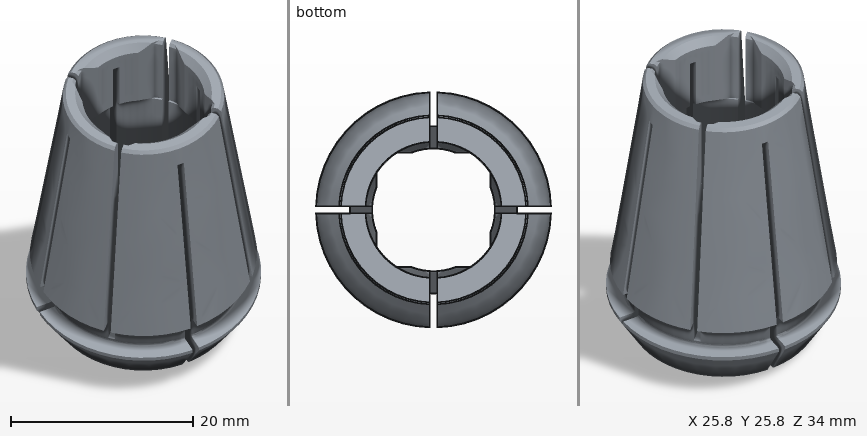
import cadquery as cq
import math

total_height = 34.0
top_edge_chamfer = 0.35

flange_radius = 12.92
flange_top = 5.0
flange_rim_height = 0.48
flange_cone_angle = 30.0
bottom_edge_chamfer = 0.15

groove_radius = 11.0
groove_height = 3.05
groove_fillet = 0.2

body_base_radius = 12.48
body_taper_angle = 8.0

shank_radius = 7.48
shank_end_angle = 60.0
square_side = 12.5
square_depth = 9.0
corner_radius = 7.7
corner_chamfer = 0.3
relief_radius = 6.73
mouth_radius = 7.5

slot_width = 0.78
slot_length = 2.5 * flange_radius
axis_slot_top_gap = 2.55
diagonal_slot_floor = 5.45

body_base = flange_top + groove_height
body_top = total_height - top_edge_chamfer
body_top_radius = body_base_radius - (body_top - body_base) * math.tan(math.radians(body_taper_angle))
rim_base = flange_top - flange_rim_height
flange_slope = math.tan(math.radians(flange_cone_angle))
bottom_radius = flange_radius - rim_base * flange_slope
mouth_depth = mouth_radius - relief_radius
square_floor = total_height - square_depth
shank_end_height = (shank_radius - relief_radius) / math.tan(math.radians(shank_end_angle))


def make_outer_body():
    """Revolve the flange, groove and tapered body as one solid."""
    half_profile = [
        (0, 0),
        (bottom_radius - bottom_edge_chamfer, 0),
        (bottom_radius + bottom_edge_chamfer * flange_slope, bottom_edge_chamfer),
        (flange_radius, rim_base),
        (flange_radius, flange_top),
        (groove_radius, flange_top),
        (groove_radius, body_base),
        (body_base_radius, body_base),
        (body_top_radius, body_top),
        (body_top_radius - top_edge_chamfer, total_height),
        (0, total_height),
    ]
    body = cq.Workplane("XZ").polyline(half_profile).close().revolve(360, (0, 0), (0, 1))
    groove_corners = cq.selectors.BoxSelector(
        (-flange_radius, -flange_radius, flange_top - groove_fillet),
        (flange_radius, flange_radius, body_base + groove_fillet),
    )
    corner_radius_limit = groove_radius + groove_fillet
    corners = body.edges("%CIRCLE").edges(groove_corners).filter(
        lambda edge: edge.radius() < corner_radius_limit
    )
    return corners.fillet(groove_fillet)


def make_cone(base_height, base_radius, cone_height, top_radius):
    """Truncated cone on the Z axis."""
    return (
        cq.Workplane("XY")
        .workplane(offset=base_height)
        .circle(base_radius)
        .workplane(offset=cone_height)
        .circle(top_radius)
        .loft()
    )


def make_square_drive():
    """Square socket whose corners are cut off by a round wall, chamfered at the top."""
    socket = cq.Workplane("XY").workplane(offset=square_floor)
    square = socket.rect(square_side, square_side).extrude(square_depth)
    corner_wall = socket.circle(corner_radius).extrude(square_depth)
    corner_chamfer_cone = make_cone(
        total_height - corner_chamfer, corner_radius, corner_chamfer, corner_radius + corner_chamfer
    )
    return square.intersect(corner_wall.union(corner_chamfer_cone))


def make_bore():
    """Shank hole with a conical end, square drive with a round relief, and mouth chamfer."""
    shank = cq.Workplane("XY").circle(shank_radius).extrude(square_floor)
    shank_end = make_cone(square_floor, shank_radius, shank_end_height, relief_radius)
    relief = cq.Workplane("XY").workplane(offset=square_floor).circle(relief_radius).extrude(square_depth)
    mouth = make_cone(total_height - mouth_depth, relief_radius, mouth_depth, mouth_radius)
    return shank.union(shank_end).union(make_square_drive()).union(relief).union(mouth)


def make_cross_slots(bottom, top, start_angle):
    """Two crossing slots through the whole wall, between two heights, turned by start_angle degrees."""
    slots = cq.Workplane("XY")
    for angle in (start_angle, start_angle + 90):
        slot = (
            cq.Workplane("XY")
            .workplane(offset=bottom)
            .rect(slot_length, slot_width)
            .extrude(top - bottom)
            .rotate((0, 0, 0), (0, 0, 1), angle)
        )
        slots = slots.add(slot)
    return slots.combine()


axis_slots = make_cross_slots(0, total_height - axis_slot_top_gap, 0)
diagonal_slots = make_cross_slots(diagonal_slot_floor, total_height, 45)

result = make_outer_body().cut(make_bore()).cut(axis_slots).cut(diagonal_slots)